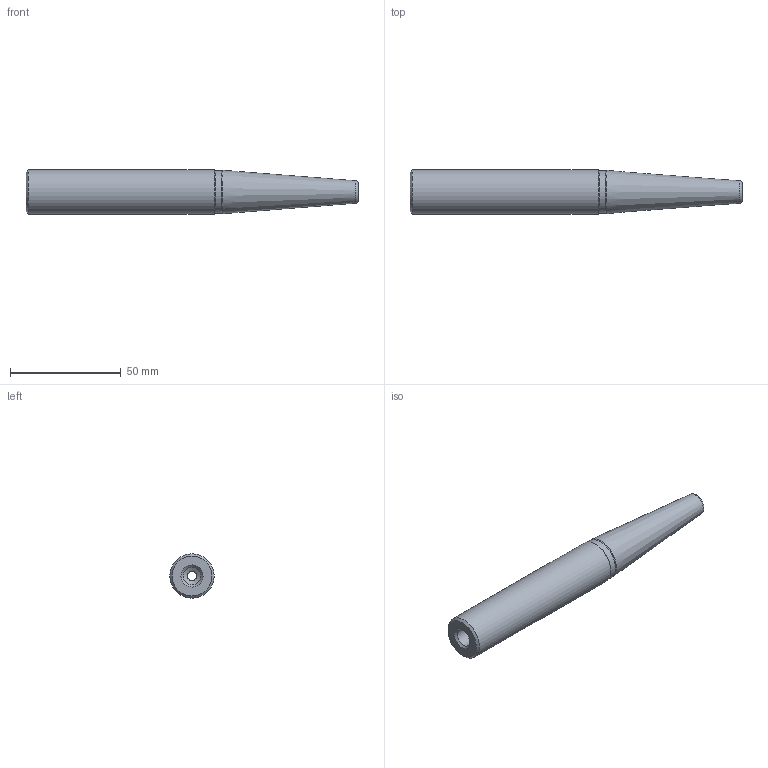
import cadquery as cq
import math

total_length = 150.0
shank_length = 85.0
groove_length = 3.7

shank_diameter = 20.0
tip_diameter = 10.0
nose_half_angle = 4.5

groove_depth = 0.4
groove_shoulder = groove_depth

shank_chamfer = 1.0
tip_fillet = 1.0

entry_diameter = 10.0
bore_diameter = 8.0
bore_depth = 25.0
through_diameter = 4.2
entry_angle = 90.0
drill_point_angle = 118.0


def cone_length(large_diameter, small_diameter, included_angle):
    """Axial length of a cone frustum with the given included angle."""
    radius_change = (large_diameter - small_diameter) / 2
    return radius_change / math.tan(math.radians(included_angle / 2))


def revolve_about_x(profile_points):
    """Revolve a closed (x, radius) outline about the X axis."""
    outline = cq.Workplane("XZ").polyline(profile_points).close()
    return outline.revolve(360, (0, 0, 0), (1, 0, 0))


def make_body():
    """Chamfered shank, shallow groove and tapered nose with a rounded tip."""
    shank_radius = shank_diameter / 2
    groove_radius = shank_radius - groove_depth
    groove_end = shank_length + groove_length
    nose_length = total_length - groove_end
    tip_radius = tip_diameter / 2
    nose_radius = tip_radius + nose_length * math.tan(math.radians(nose_half_angle))
    body = revolve_about_x([
        (0, 0),
        (0, shank_radius - shank_chamfer),
        (shank_chamfer, shank_radius),
        (shank_length, shank_radius),
        (shank_length + groove_shoulder, groove_radius),
        (groove_end - groove_shoulder, groove_radius),
        (groove_end, nose_radius),
        (total_length, tip_radius),
        (total_length, 0),
    ])
    return body.faces(">X").edges().fillet(tip_fillet)


def make_bore():
    """Void along the full axis, opening wider at the shank end."""
    entry_depth = cone_length(entry_diameter, bore_diameter, entry_angle)
    point_length = cone_length(bore_diameter, through_diameter, drill_point_angle)
    return revolve_about_x([
        (0, 0),
        (0, entry_diameter / 2),
        (entry_depth, bore_diameter / 2),
        (bore_depth, bore_diameter / 2),
        (bore_depth + point_length, through_diameter / 2),
        (total_length, through_diameter / 2),
        (total_length, 0),
    ])


result = make_body().cut(make_bore())